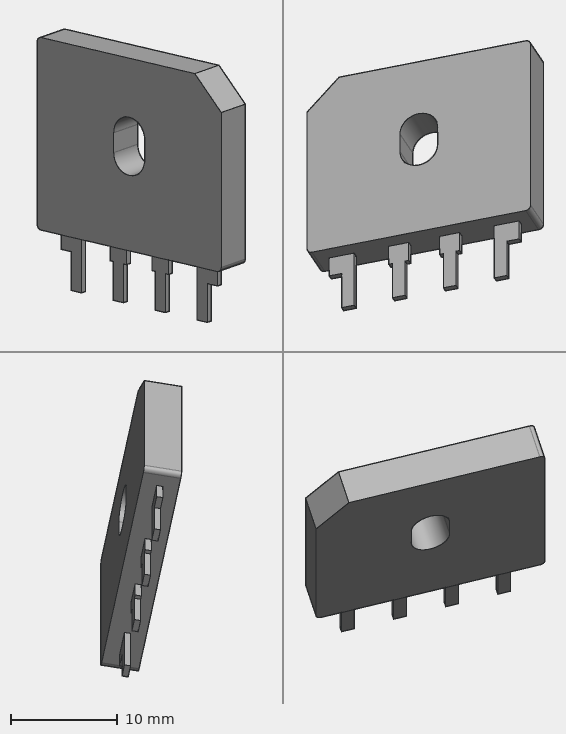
import cadquery as cq

body_width = 22.3
body_depth = 3.57
total_height = 24.63
lead_length = 5.8
body_height = total_height - lead_length

corner_radius = 0.5
corner_cut = 3.2
slot_width = 3.75
slot_height = 5.7
slot_center_below_top = 8.62

lead_pitch = 5.07
lead_thickness = 0.6
pin_width = 1.25
shoulder_height = 2.0
inner_shoulder_width = 2.0
outer_shoulder_width = 2.49


def make_housing():
    """Flat block standing on Z = 0, with one cut corner and a through slot."""
    block = cq.Workplane("XY").box(body_width, body_depth, body_height, centered=(True, True, False))
    block = block.edges("|Y and (<X or <Z)").fillet(corner_radius)
    right = body_width / 2
    corner = (
        cq.Workplane("XZ")
        .moveTo(right - corner_cut, body_height)
        .lineTo(right, body_height)
        .lineTo(right, body_height - corner_cut)
        .close()
        .extrude(body_depth / 2, both=True)
    )
    slot = (
        cq.Workplane("XZ")
        .center(0, body_height - slot_center_below_top)
        .slot2D(slot_height, slot_width, 90)
        .extrude(body_depth / 2, both=True)
    )
    return block.cut(corner).cut(slot)


def make_lead(center_x, shoulder_left, shoulder_right):
    """Flat lead hanging from Z = 0: a wide shoulder above a narrow pin."""
    pin = cq.Workplane("XY").box(pin_width, lead_thickness, lead_length)
    pin = pin.translate((center_x, 0, -lead_length / 2))
    shoulder_width = shoulder_right - shoulder_left
    shoulder = cq.Workplane("XY").box(shoulder_width, lead_thickness, shoulder_height)
    shoulder = shoulder.translate(((shoulder_left + shoulder_right) / 2, 0, -shoulder_height / 2))
    return pin.union(shoulder).clean()


def make_inner_lead(side):
    """Lead with its shoulder centred on the pin."""
    center_x = side * lead_pitch / 2
    half_shoulder = inner_shoulder_width / 2
    return make_lead(center_x, center_x - half_shoulder, center_x + half_shoulder)


def make_outer_lead(side):
    """Lead with its shoulder flush with the inner pin edge and stepping outward."""
    center_x = side * lead_pitch * 3 / 2
    inner_edge = center_x - side * pin_width / 2
    outer_edge = inner_edge + side * outer_shoulder_width
    return make_lead(center_x, min(inner_edge, outer_edge), max(inner_edge, outer_edge))


housing = make_housing()
leads = []
for side in (-1, 1):
    leads.append(make_inner_lead(side).val())
    leads.append(make_outer_lead(side).val())

result = cq.Compound.makeCompound([housing.val(), *leads])